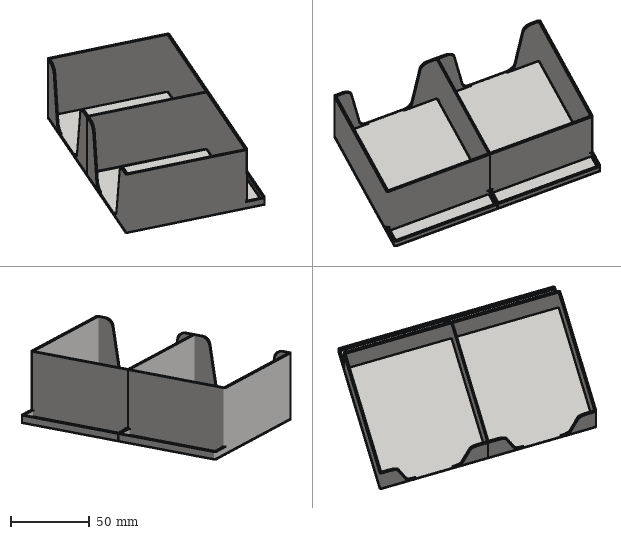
import cadquery as cq
import math

total_width = 144.4
total_depth = 95.0
height = 44.8
tray_depth = 12.1
tray_height = 5.0

wall = 1.0
floor = 1.0
outer_radius = 1.0
inner_radius = 0.9
bin_divider = 0.7
tray_divider = 1.6
tray_gap = 0.5
body_overlap = 1.3

opening_bottom_width = 35.2
opening_slope = 9.5
opening_radius = 6.0

half_width = total_width / 2
front_y = -total_depth / 2
back_y = total_depth / 2
bin_back_y = back_y - tray_depth


def rounded_block(x_min, x_max, y_min, y_max, z_min, z_max, radius):
    """Upright block with rounded vertical edges."""
    return (
        cq.Workplane("XY", origin=((x_min + x_max) / 2, (y_min + y_max) / 2, z_min))
        .rect(x_max - x_min, y_max - y_min)
        .extrude(z_max - z_min)
        .edges("|Z")
        .fillet(radius)
    )


def left_body():
    """Solid left bin and tray, reaching slightly past the centre plane."""
    inner_x = body_overlap / 2
    main = rounded_block(-half_width, inner_x, front_y, bin_back_y, 0, height, outer_radius)
    tray_front_y = bin_back_y - 2 * outer_radius
    tray = rounded_block(-half_width, inner_x, tray_front_y, back_y, 0, tray_height, outer_radius)
    return main.union(tray)


def left_cavities():
    """Open-topped hollows of the left bin and its tray."""
    outer_x = -half_width + wall
    bin_hollow = rounded_block(
        outer_x, -bin_divider / 2, front_y + wall, bin_back_y - wall, floor, height, inner_radius
    )
    tray_hollow = rounded_block(
        outer_x, -tray_divider / 2, bin_back_y, back_y - wall, floor, tray_height, inner_radius
    )
    return bin_hollow.union(tray_hollow)


def tray_slit():
    """Narrow full-height gap separating the two trays behind the bins."""
    return (
        cq.Workplane("XY", origin=(0, bin_back_y + tray_depth / 2, 0))
        .rect(tray_gap, tray_depth)
        .extrude(tray_height)
    )


def left_opening():
    """Tapered cut through the front wall, rounded at the floor and flared at the rim."""
    centre_x = -half_width / 2
    slope = math.radians(opening_slope)
    bottom_half = opening_bottom_width / 2
    top_half = bottom_half + (height - floor) * math.tan(slope)
    turn = math.pi / 2 - slope
    tangent = opening_radius * math.tan(turn / 2)
    along_x = tangent * math.sin(slope)
    along_z = tangent * math.cos(slope)
    mid_x = opening_radius * math.sin(turn / 2)
    mid_z = opening_radius * (1 - math.cos(turn / 2))

    rim = top_half + tangent
    base = bottom_half - tangent
    rim_arc_end = (top_half - along_x, height - along_z)
    base_arc_end = (bottom_half + along_x, floor + along_z)
    rim_arc_mid = (rim - mid_x, height - mid_z)
    base_arc_mid = (base + mid_x, floor + mid_z)

    def mirrored(point):
        return (-point[0], point[1])

    return (
        cq.Workplane("XZ", origin=(centre_x, front_y + wall, 0))
        .moveTo(-rim, height)
        .threePointArc(mirrored(rim_arc_mid), mirrored(rim_arc_end))
        .lineTo(*mirrored(base_arc_end))
        .threePointArc(mirrored(base_arc_mid), (-base, floor))
        .lineTo(base, floor)
        .threePointArc(base_arc_mid, base_arc_end)
        .lineTo(*rim_arc_end)
        .threePointArc(rim_arc_mid, (rim, height))
        .close()
        .extrude(wall)
    )


def with_mirror_image(left):
    """Left half together with its reflection in the centre plane."""
    return left.union(left.mirror("YZ"))


result = (
    with_mirror_image(left_body())
    .cut(with_mirror_image(left_cavities()))
    .cut(with_mirror_image(left_opening()))
    .cut(tray_slit())
)